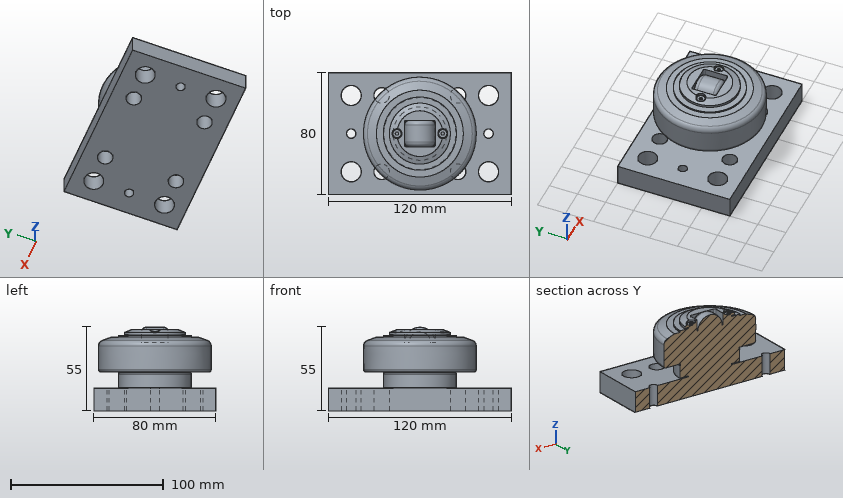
import cadquery as cq
import math

PLATE_LENGTH = 120.0
PLATE_WIDTH = 80.0
PLATE_THICKNESS = 15.0
HOLE_ROW_Y = 25.0
OUTER_HOLE_X = 45.0
INNER_HOLE_X = 25.0
MOUNTING_HOLE_DIAMETER = 13.0
INNER_HOLE_DIAMETER = 10.11
DOWEL_HOLE_DIAMETER = 6.0

ROLLER_BOTTOM_Z = 25.5
ROLLER_WIDTH = 23.0
ROLLER_TOP_Z = ROLLER_BOTTOM_Z + ROLLER_WIDTH
RING_TOP_Z = 49.5
CAP_TOP_Z = 53.6
TOTAL_HEIGHT = 55.0

PIN_DIAMETER = 35.0
RING_DIAMETER = 48.0
NECK_CHAMFER_HEIGHT = 0.7
NECK_CHAMFER_WIDTH = 0.4
CAP_DIAMETER = 40.0
CAP_FACE_DIAMETER = 30.0
CAP_BEVEL_HEIGHT = 2.1
JOINT_GAP = 0.35

ROLLER_DIAMETER = 74.0
ROLLER_FACE_DIAMETER = 57.0
ROLLER_CONE_ANGLE = math.radians(20.0)
ROLLER_TOP_FILLET = 4.0
ROLLER_BOTTOM_FILLET = 1.8
ROLLER_CROWN = 0.04

POCKET_LENGTH = 20.3
POCKET_WIDTH = 17.3
POCKET_CORNER_RADIUS = 1.2
SIDE_ROLLER_DIAMETER = 20.0
SIDE_ROLLER_FILLET = 3.0
SIDE_ROLLER_CROWN = 0.02

SCREW_X = 15.0
SCREW_RECESS_DIAMETER = 6.5
SCREW_RECESS_DEPTH = 1.3
SCREW_HEAD_STEP = 0.2
SCREW_HEAD_DIAMETER = 5.35
SOCKET_ACROSS_FLATS = 2.0
SOCKET_DEPTH = 1.0


def make_plate():
    plate = cq.Workplane("XY").box(
        PLATE_LENGTH, PLATE_WIDTH, PLATE_THICKNESS, centered=(True, True, False)
    )
    hole_patterns = (
        (OUTER_HOLE_X, (-HOLE_ROW_Y, HOLE_ROW_Y), MOUNTING_HOLE_DIAMETER),
        (INNER_HOLE_X, (-HOLE_ROW_Y, HOLE_ROW_Y), INNER_HOLE_DIAMETER),
        (OUTER_HOLE_X, (0.0,), DOWEL_HOLE_DIAMETER),
    )
    for hole_x, hole_rows, diameter in hole_patterns:
        centres = [(x, y) for x in (-hole_x, hole_x) for y in hole_rows]
        plate = plate.faces(">Z").workplane(origin=(0, 0, 0)).pushPoints(centres).hole(diameter)
    return plate


def make_pin_and_cap():
    """Pin, neck, inner ring and bevelled cap, turned about Z; narrow gaps show the pin at each joint."""
    pin_radius = PIN_DIAMETER / 2
    ring_radius = RING_DIAMETER / 2
    neck_top_radius = ring_radius - NECK_CHAMFER_WIDTH
    cap_radius = CAP_DIAMETER / 2
    neck_top_z = ROLLER_BOTTOM_Z - JOINT_GAP
    neck_bottom_z = PLATE_THICKNESS + JOINT_GAP
    return (
        cq.Workplane("XZ")
        .moveTo(0, PLATE_THICKNESS)
        .lineTo(pin_radius, PLATE_THICKNESS)
        .lineTo(pin_radius, neck_bottom_z)
        .lineTo(ring_radius, neck_bottom_z)
        .lineTo(ring_radius, neck_top_z - NECK_CHAMFER_HEIGHT)
        .lineTo(neck_top_radius, neck_top_z)
        .lineTo(neck_top_radius, ROLLER_TOP_Z)
        .lineTo(ring_radius, ROLLER_TOP_Z)
        .lineTo(ring_radius, RING_TOP_Z)
        .lineTo(pin_radius, RING_TOP_Z)
        .lineTo(pin_radius, RING_TOP_Z + JOINT_GAP)
        .lineTo(cap_radius, RING_TOP_Z + JOINT_GAP)
        .lineTo(cap_radius, CAP_TOP_Z - CAP_BEVEL_HEIGHT)
        .lineTo(CAP_FACE_DIAMETER / 2, CAP_TOP_Z)
        .lineTo(0, CAP_TOP_Z)
        .close()
        .revolve()
    )


def make_main_roller():
    """Slightly crowned roller; its top fillet is tangent to the rim and to the conical shoulder."""
    rim = ROLLER_DIAMETER / 2
    face = ROLLER_FACE_DIAMETER / 2
    fillet_centre_r = rim - ROLLER_TOP_FILLET
    cone_outer_r = fillet_centre_r + ROLLER_TOP_FILLET * math.sin(ROLLER_CONE_ANGLE)
    cone_outer_z = ROLLER_TOP_Z - (cone_outer_r - face) * math.tan(ROLLER_CONE_ANGLE)
    rim_top_z = cone_outer_z - ROLLER_TOP_FILLET * math.cos(ROLLER_CONE_ANGLE)
    rim_bottom_z = ROLLER_BOTTOM_Z + ROLLER_BOTTOM_FILLET
    arc_mid_angle = (math.pi / 2 - ROLLER_CONE_ANGLE) / 2
    arc_mid = (
        fillet_centre_r + ROLLER_TOP_FILLET * math.cos(arc_mid_angle),
        rim_top_z + ROLLER_TOP_FILLET * math.sin(arc_mid_angle),
    )
    return (
        cq.Workplane("XZ")
        .moveTo(0, ROLLER_BOTTOM_Z)
        .lineTo(rim - ROLLER_BOTTOM_FILLET, ROLLER_BOTTOM_Z)
        .radiusArc((rim, rim_bottom_z), -ROLLER_BOTTOM_FILLET)
        .threePointArc((rim + ROLLER_CROWN, (rim_bottom_z + rim_top_z) / 2), (rim, rim_top_z))
        .threePointArc(arc_mid, (cone_outer_r, cone_outer_z))
        .lineTo(face, ROLLER_TOP_Z)
        .lineTo(0, ROLLER_TOP_Z)
        .close()
        .revolve()
    )


def make_side_roller_pocket():
    axis_z = TOTAL_HEIGHT - SIDE_ROLLER_DIAMETER / 2
    return (
        cq.Workplane("XY", origin=(0, 0, axis_z))
        .rect(POCKET_LENGTH, POCKET_WIDTH)
        .extrude(TOTAL_HEIGHT - axis_z)
        .edges("|Z")
        .fillet(POCKET_CORNER_RADIUS)
    )


def make_side_roller():
    """Crowned roller with rounded ends, filling the pocket from wall to wall along Y."""
    half_length = POCKET_WIDTH / 2
    crown_radius = SIDE_ROLLER_DIAMETER / 2
    edge_radius = crown_radius - SIDE_ROLLER_CROWN
    end_radius = edge_radius - SIDE_ROLLER_FILLET
    fillet_start = half_length - SIDE_ROLLER_FILLET
    return (
        cq.Workplane("YZ")
        .moveTo(-half_length, 0)
        .lineTo(-half_length, end_radius)
        .radiusArc((-fillet_start, edge_radius), SIDE_ROLLER_FILLET)
        .threePointArc((0, crown_radius), (fillet_start, edge_radius))
        .radiusArc((half_length, end_radius), SIDE_ROLLER_FILLET)
        .lineTo(half_length, 0)
        .close()
        .revolve(360, (0, 0, 0), (1, 0, 0))
        .translate((0, 0, TOTAL_HEIGHT - crown_radius))
    )


def make_screw_recess(centre_x):
    """Recess with a shallow conical floor around the screw head, with the hexagon socket below it."""
    recess_radius = SCREW_RECESS_DIAMETER / 2
    head_radius = SCREW_HEAD_DIAMETER / 2
    recess_bottom_z = CAP_TOP_Z - SCREW_RECESS_DEPTH
    head_z = recess_bottom_z - SCREW_HEAD_STEP
    socket_across_corners = SOCKET_ACROSS_FLATS / math.cos(math.pi / 6)
    recess = (
        cq.Workplane("XZ")
        .moveTo(0, CAP_TOP_Z)
        .lineTo(recess_radius, CAP_TOP_Z)
        .lineTo(recess_radius, recess_bottom_z)
        .lineTo(head_radius, head_z)
        .lineTo(0, head_z)
        .close()
        .revolve()
        .translate((centre_x, 0, 0))
    )
    socket = (
        cq.Workplane("XY", origin=(centre_x, 0, head_z))
        .polygon(6, socket_across_corners)
        .extrude(-SOCKET_DEPTH)
    )
    return recess.union(socket)


result = make_plate().union(make_pin_and_cap()).union(make_main_roller())
result = result.cut(make_side_roller_pocket()).union(make_side_roller())
for screw_x in (-SCREW_X, SCREW_X):
    result = result.cut(make_screw_recess(screw_x))